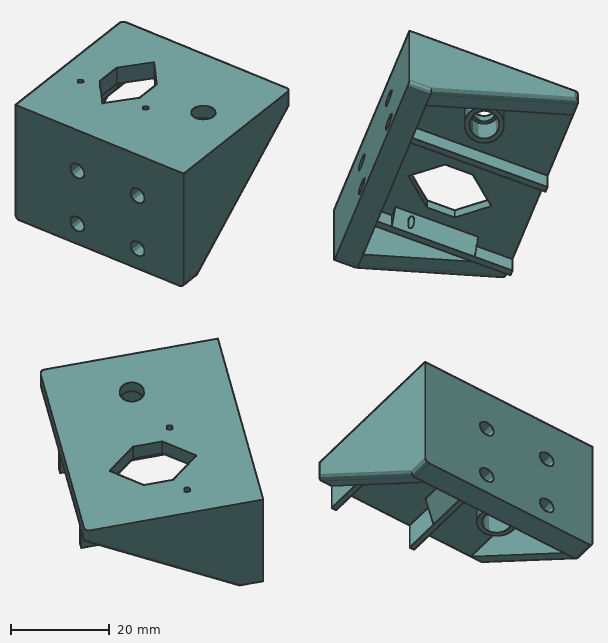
import cadquery as cq
import math

WIDTH = 42.0
DEPTH = 37.0
HEIGHT = 28.0

TOP_PLATE = 4.0
FRONT_PLATE = 5.0
GUSSET = 3.55
EDGE_RADIUS = 1.0

SCREW_DIAMETER = 3.45
SCREW_LEFT = 15.45
SCREW_BOTTOM = 4.95
SCREW_PITCH_X = 15.05
SCREW_PITCH_Z = 13.0

WINDOW_X = 13.9
WINDOW_Y = 19.8
WINDOW_WIDTH = 10.0
WINDOW_LENGTH = 18.0
WINDOW_FLAT = 6.0
PILOT_DIAMETER = 1.2
PILOT_SPACING = 16.25
PILOT_Y = 14.55

BOSS_X = 32.5
BOSS_Y = 20.0
BOSS_DIAMETER = 8.0
BOSS_DROP = 11.0
BOSS_BORE = 4.9
BOSS_LIP = 3.0
BOSS_COUNTERBORE = 6.0

RAIL_GAP = 18.4
RAIL_WIDTH = WINDOW_X - RAIL_GAP / 2 - GUSSET
RAIL_DROP = 10.2
RAIL_LEAN = 17.8

UNDERSIDE = HEIGHT - TOP_PLATE
RAIL_BOTTOM = HEIGHT - RAIL_DROP


def make_shell():
    """Solid side profile with rounded outer edges, hollowed between the two gussets."""
    profile = [(0, 0), (FRONT_PLATE, 0), (DEPTH, UNDERSIDE), (DEPTH, HEIGHT), (0, HEIGHT)]
    block = cq.Workplane("YZ").polyline(profile).close().extrude(WIDTH)

    for side in ("<X", ">X"):
        sharp_edges = block.faces(side).edges("not(<Y or >Z)")
        block = sharp_edges.fillet(EDGE_RADIUS)

    cavity = (
        cq.Workplane("XY")
        .box(WIDTH - 2 * GUSSET, DEPTH, HEIGHT, centered=False)
        .translate((GUSSET, FRONT_PLATE, -TOP_PLATE))
    )
    return block.cut(cavity)


def make_rail(side):
    """Rail on one side of the window (-1 left, +1 right); its inner face leans in beside the window."""
    inner = WINDOW_X + side * RAIL_GAP / 2
    outer = inner + side * RAIL_WIDTH
    lean = (UNDERSIDE - RAIL_BOTTOM) * math.tan(math.radians(RAIL_LEAN))

    bar = (
        cq.Workplane("XY")
        .box(RAIL_WIDTH, DEPTH - FRONT_PLATE, UNDERSIDE - RAIL_BOTTOM, centered=False)
        .translate((min(inner, outer), FRONT_PLATE, RAIL_BOTTOM))
    )
    wedge_profile = [
        (inner, RAIL_BOTTOM),
        (inner - side * lean, UNDERSIDE),
        (outer, UNDERSIDE),
        (outer, RAIL_BOTTOM),
    ]
    wedge = (
        cq.Workplane("XZ", origin=(0, WINDOW_Y, 0))
        .polyline(wedge_profile)
        .close()
        .extrude(WINDOW_LENGTH / 2, both=True)
    )
    return bar.union(wedge)


def make_boss():
    """Cylinder hanging from the top plate, solid until its stepped bore is cut."""
    return (
        cq.Workplane("XY", origin=(BOSS_X, BOSS_Y, HEIGHT - BOSS_DROP))
        .circle(BOSS_DIAMETER / 2)
        .extrude(BOSS_DROP)
    )


def make_window():
    """Six-sided cutter, pointed toward the front and the back."""
    half_width = WINDOW_WIDTH / 2
    half_length = WINDOW_LENGTH / 2
    half_flat = WINDOW_FLAT / 2
    outline = [
        (0, half_length),
        (half_width, half_flat),
        (half_width, -half_flat),
        (0, -half_length),
        (-half_width, -half_flat),
        (-half_width, half_flat),
    ]
    return cq.Workplane("XY", origin=(WINDOW_X, WINDOW_Y, 0)).polyline(outline).close().extrude(HEIGHT)


def make_vertical_hole(x, y, diameter, top=HEIGHT):
    """Round cutter rising from the base level to the given height."""
    return cq.Workplane("XY", origin=(x, y, 0)).circle(diameter / 2).extrude(top)


def make_screw_holes():
    """Two by two pattern of cutters through the front plate."""
    centres = [
        (SCREW_LEFT + column * SCREW_PITCH_X, SCREW_BOTTOM + row * SCREW_PITCH_Z)
        for column in range(2)
        for row in range(2)
    ]
    return cq.Workplane("XZ").pushPoints(centres).circle(SCREW_DIAMETER / 2).extrude(-FRONT_PLATE)


result = make_shell().union(make_boss())
for side in (-1, 1):
    result = result.union(make_rail(side))

result = result.cut(make_window())

result = result.cut(make_vertical_hole(BOSS_X, BOSS_Y, BOSS_BORE))
result = result.cut(make_vertical_hole(BOSS_X, BOSS_Y, BOSS_COUNTERBORE, HEIGHT - BOSS_LIP))

for side in (-1, 1):
    pilot_x = WINDOW_X + side * PILOT_SPACING / 2
    result = result.cut(make_vertical_hole(pilot_x, PILOT_Y, PILOT_DIAMETER))
result = result.cut(make_screw_holes())